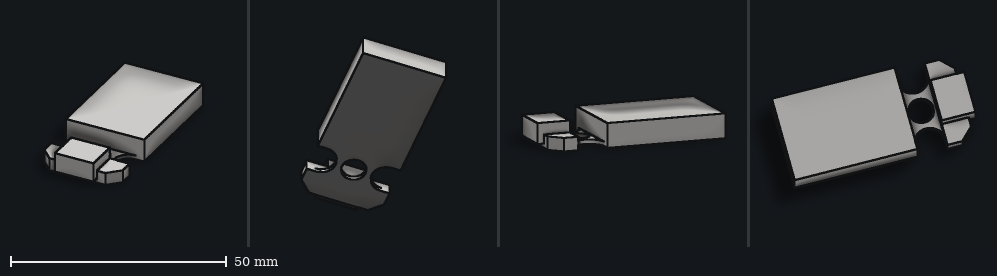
import cadquery as cq

width = 20.6
total_length = 44.8

body_length = 29.5
body_height = 5.95

neck_length = 7.15
neck_thickness = 1.1
neck_hole_diameter = 5.82
waist_width = 8.95

head_length = 6.5
head_height = 3.25
head_chamfer = 2.95

tab_width = 10.12
tab_bottom = neck_thickness
tab_top = 6.1

head_back = total_length - body_length - neck_length
neck_back = head_back + neck_length
neck_middle = head_back + neck_length / 2
head_front = head_back - head_length


def block(block_width, y_start, y_end, z_start, z_end):
    """Box centred on X = 0 spanning the given Y and Z ranges."""
    return (
        cq.Workplane("XY")
        .box(block_width, y_end - y_start, z_end - z_start, centered=(True, False, False))
        .translate((0, y_start, z_start))
    )


def make_neck():
    """Thin web with a central hole and a semicircular notch in each side."""
    notch_radius = neck_length / 2
    notch_center = waist_width / 2 + notch_radius
    web = block(2 * notch_center, head_back, neck_back, 0, neck_thickness)
    notches = (
        cq.Workplane("XY")
        .pushPoints([(-notch_center, neck_middle), (notch_center, neck_middle)])
        .circle(notch_radius)
        .extrude(neck_thickness)
    )
    hole = (
        cq.Workplane("XY")
        .center(0, neck_middle)
        .circle(neck_hole_diameter / 2)
        .extrude(neck_thickness)
    )
    return web.cut(notches).cut(hole)


def make_head():
    """Cross bar with its two front corners chamfered."""
    bar = block(width, head_front, head_back, 0, head_height)
    return bar.edges("|Z and <Y").chamfer(head_chamfer)


body = block(width, neck_back, total_length, 0, body_height)
tab = block(tab_width, 0, head_back, tab_bottom, tab_top)

result = body.union(make_neck()).union(make_head()).union(tab)